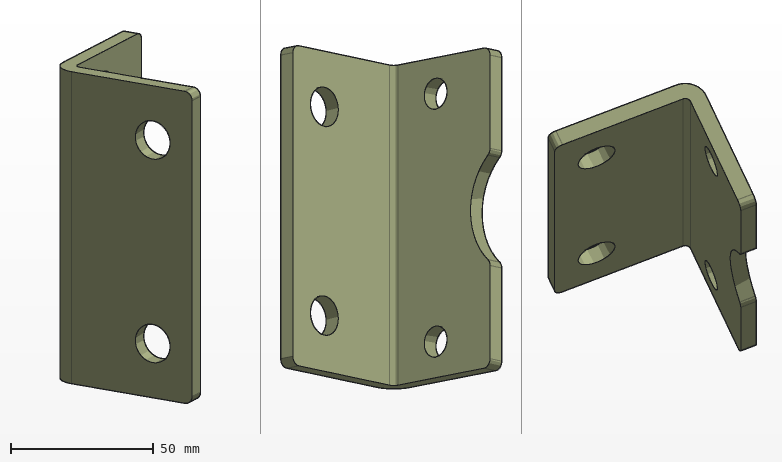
import cadquery as cq

width = 57.0
depth = 53.0
height = 115.0
thickness = 6.0

bend_outer_radius = 8.0
bend_inner_radius = bend_outer_radius - thickness
corner_radius = 3.0

front_hole_diameter = 14.0
front_hole_x = 41.0
front_hole_spacing = 75.0

side_hole_diameter = 11.0
side_hole_y = 26.5
side_hole_spacing = 89.0

notch_radius = 25.0
notch_depth = 9.5
notch_edge_radius = 3.0


def make_angle():
    """L-section with a rounded bend, standing along Z and centred on Z = 0."""
    return (
        cq.Workplane("XY")
        .moveTo(0, 0)
        .lineTo(width, 0)
        .lineTo(width, thickness)
        .lineTo(thickness, thickness)
        .lineTo(thickness, depth)
        .lineTo(0, depth)
        .close()
        .extrude(height / 2, both=True)
        .edges(cq.selectors.NearestToPointSelector((0, 0, 0)))
        .fillet(bend_outer_radius)
        .edges(cq.selectors.NearestToPointSelector((thickness, thickness, 0)))
        .fillet(bend_inner_radius)
    )


def make_front_holes():
    return (
        cq.Workplane("XZ")
        .pushPoints([(front_hole_x, side * front_hole_spacing / 2) for side in (-1, 1)])
        .circle(front_hole_diameter / 2)
        .extrude(-thickness)
    )


def make_side_holes():
    return (
        cq.Workplane("YZ")
        .pushPoints([(side_hole_y, side * side_hole_spacing / 2) for side in (-1, 1)])
        .circle(side_hole_diameter / 2)
        .extrude(thickness)
    )


def make_notch():
    return (
        cq.Workplane("YZ")
        .center(depth - notch_depth + notch_radius, 0)
        .circle(notch_radius)
        .extrude(thickness)
    )


angle = make_angle()
angle = angle.faces(">X").edges("|Y").fillet(corner_radius)
angle = angle.faces(">Y").edges("|X").fillet(corner_radius)

angle = angle.cut(make_notch())
notch_edges = cq.selectors.BoxSelector(
    (-1.2, depth - corner_radius / 2, -notch_radius),
    (thickness + 1.2, depth + 1.2, notch_radius),
)
angle = angle.edges("|X").edges(notch_edges).fillet(notch_edge_radius)

result = angle.cut(make_front_holes()).cut(make_side_holes())